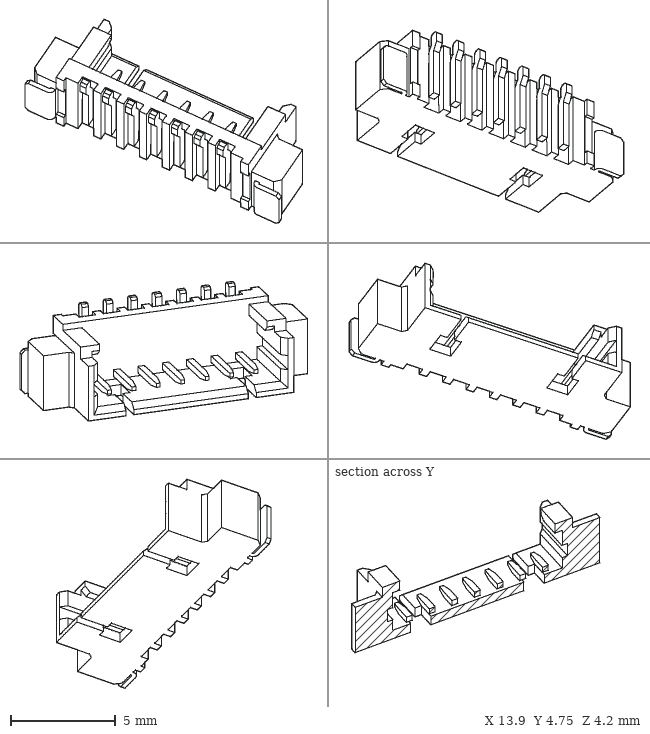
import cadquery as cq
import math


body_half = 5.25
mating_end = 4.75
plate_front = 0.29
plate_rear = 1.36
plate_height = 3.73
floor_height = 0.55
lead_in = 0.29

wall_thickness = 0.58
wall_high = 3.42
wall_low = 2.81
wall_step = 3.73
groove_bottom = 1.2
groove_top = 1.92
lug_width = 0.39
lug_bottom = 2.84
lug_chamfer = 0.28

contact_count = 7
pitch = 1.25
contact_width = 0.33
leg_thickness = 0.47
leg_front = 0.25
contact_bottom = 0.71
jog_bottom = 3.17
jog_top = 3.59
contact_top = 4.2
tail_chamfer = 0.13
pin_shoulder = 3.11
pin_tip = 3.64
pin_tip_width = 0.2

channel_width = 0.85
channel_floor_top = 0.72
channel_floor_bottom = 0.68

pad_width = 0.42
pad_front = 0.08
pad_link_front = 0.25
upper_pad_bottom = wall_low
lower_pad_top = contact_bottom

slot_x = 2.5 * pitch
slot_neck_width = 0.4
slot_width = 1.11
slot_start = 2.14
slot_neck_start = 3.28

ear_outer = 6.75
ear_front = 0.38
ear_rear = 2.7
ear_chamfer = 0.29
ear_gusset = 0.21
tab_outer = 6.95
tab_inner = 5.46
tab_thickness = 0.24
tab_front = 0.05
tab_height = 2.22
tab_bend = 0.29
tab_corner = 0.18
tab_root = 0.55


def block(x0, x1, y0, y1, z0, z1):
    """Box between two opposite corners."""
    return cq.Workplane("XY").box(x1 - x0, y1 - y0, z1 - z0, centered=False).translate((x0, y0, z0))


def side_profile(points, x0, x1):
    """Solid with a (Y, Z) outline, running from x0 to x1."""
    return cq.Workplane("YZ").polyline(points).close().extrude(x1 - x0).translate((x0, 0, 0))


def both_sides(right_half):
    """The given solid together with its mirror image in X."""
    return right_half.union(right_half.mirror("YZ"))


def make_plate():
    plate = block(-body_half, body_half, plate_front, plate_rear, 0, plate_height)
    corner_strips = (
        (pad_front, 0, lower_pad_top),
        (pad_link_front, lower_pad_top, upper_pad_bottom),
        (pad_front, upper_pad_bottom, plate_height),
    )
    for front, bottom, top in corner_strips:
        strip = block(body_half - pad_width, body_half, front, plate_front, bottom, top)
        plate = plate.union(both_sides(strip))
    return plate


def make_channel(x):
    outline = [
        (0, 0),
        (channel_floor_bottom, 0),
        (channel_floor_top, plate_height),
        (0, plate_height),
    ]
    return side_profile(outline, x - channel_width / 2, x + channel_width / 2)


def make_floor():
    outline = [
        (plate_rear, 0),
        (mating_end, 0),
        (mating_end, floor_height - lead_in),
        (mating_end - lead_in, floor_height),
        (plate_rear, floor_height),
    ]
    floor = side_profile(outline, -body_half, body_half)
    slot = block(slot_x - slot_width / 2, slot_x + slot_width / 2, slot_start, slot_neck_start, 0, floor_height)
    neck_half = slot_neck_width / 2
    neck = block(slot_x - neck_half, slot_x + neck_half, slot_neck_start, mating_end, 0, floor_height)
    return floor.cut(both_sides(slot.union(neck)))


def make_right_wall():
    wall_inner = body_half - wall_thickness
    wall = block(wall_inner, body_half, plate_rear, mating_end, 0, wall_high)
    wall = wall.cut(block(wall_inner, body_half, wall_step, mating_end, wall_low, wall_high))

    mouth_chamfer = (
        cq.Workplane("XY")
        .moveTo(wall_inner, mating_end - lead_in)
        .lineTo(wall_inner + lead_in, mating_end)
        .lineTo(wall_inner, mating_end)
        .close()
        .extrude(wall_low)
        .cut(block(0, body_half, 0, mating_end, 0, floor_height - lead_in))
    )
    groove = block(wall_inner, wall_inner + lead_in, plate_rear, mating_end, groove_bottom, groove_top)

    lug_outline = [
        (plate_rear, lug_bottom),
        (wall_step - lug_chamfer, lug_bottom),
        (wall_step, lug_bottom + lug_chamfer),
        (wall_step, wall_high),
        (plate_rear, wall_high),
    ]
    lug = side_profile(lug_outline, wall_inner - lug_width, wall_inner)
    return wall.cut(mouth_chamfer).cut(groove).union(lug)


def make_right_ear():
    outline = [
        (body_half, ear_front),
        (ear_outer - ear_chamfer, ear_front),
        (ear_outer, ear_front + ear_chamfer),
        (ear_outer, ear_rear),
        (body_half + ear_gusset, ear_rear),
        (body_half, ear_rear + ear_gusset),
    ]
    return cq.Workplane("XY").polyline(outline).close().extrude(wall_low)


def make_right_tab():
    """L-shaped strip: a flat blade bent into the front face of the ear."""
    bend_inner = tab_bend - tab_thickness
    tab_back = tab_front + tab_thickness
    bend_x = tab_inner + tab_bend
    bend_y = tab_front + tab_bend
    diagonal = math.sqrt(0.5)
    tab = (
        cq.Workplane("XY")
        .moveTo(tab_outer, tab_front)
        .lineTo(bend_x, tab_front)
        .threePointArc((bend_x - tab_bend * diagonal, bend_y - tab_bend * diagonal), (tab_inner, bend_y))
        .lineTo(tab_inner, tab_root)
        .lineTo(tab_inner + tab_thickness, tab_root)
        .lineTo(tab_inner + tab_thickness, bend_y)
        .threePointArc((bend_x - bend_inner * diagonal, bend_y - bend_inner * diagonal), (bend_x, tab_back))
        .lineTo(tab_outer, tab_back)
        .close()
        .extrude(tab_height)
    )
    return tab.faces(">X").edges("|Y").chamfer(tab_corner)


def make_contact(x):
    """Solder tail, vertical leg and tapered mating pin of one contact."""
    leg_rear = leg_front + leg_thickness
    tail_outline = [
        (leg_front, contact_bottom),
        (leg_front, jog_bottom),
        (0, jog_top),
        (0, contact_top - tail_chamfer),
        (tail_chamfer, contact_top),
        (leg_thickness - tail_chamfer, contact_top),
        (leg_thickness, contact_top - tail_chamfer),
        (leg_thickness, jog_top),
        (leg_rear, jog_bottom),
        (leg_rear, contact_bottom),
    ]
    half_width = contact_width / 2
    tail = side_profile(tail_outline, x - half_width, x + half_width)
    pin_top = contact_bottom + contact_width
    pin = block(x - half_width, x + half_width, leg_front, pin_shoulder, contact_bottom, pin_top)
    tapered_pin = (
        pin.faces(">Y")
        .workplane(centerOption="CenterOfMass")
        .rect(contact_width, contact_width)
        .workplane(offset=pin_tip - pin_shoulder)
        .rect(pin_tip_width, pin_tip_width)
        .loft(combine=True)
    )
    return tail.union(tapered_pin)


contact_positions = [(i - (contact_count - 1) / 2) * pitch for i in range(contact_count)]

plate = make_plate()
for contact_x in contact_positions:
    plate = plate.cut(make_channel(contact_x))

result = plate.union(make_floor())
for right_part in (make_right_wall(), make_right_ear(), make_right_tab()):
    result = result.union(both_sides(right_part))
for contact_x in contact_positions:
    result = result.union(make_contact(contact_x))